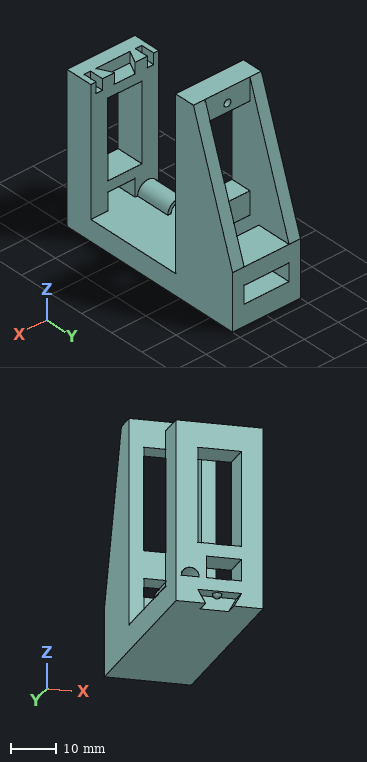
import cadquery as cq

width = 20.0
length = 55.0
height = 54.0

base_thickness = 6.0
front_post_depth = 8.0
front_post_height = 42.0
rear_plate_thickness = 6.0
rear_plate_front = 36.0
rear_plate_back = rear_plate_front + rear_plate_thickness
rear_edge_height = 15.95

servo_width = 13.2
servo_bottom = 23.6
servo_top = 47.6
screw_diameter = 2.0
screw_spacing = 28.9
screw_mid_height = (servo_bottom + servo_top) / 2
lower_opening_top = 17.1

tie_bar_depth = 10.0
tie_bar_top = rear_edge_height
tie_bar_bottom = 11.0

window_width = 10.0
window_bottom = 14.0
window_top = 36.1
duct_left = -3.0
duct_right = window_width / 2
duct_top = tie_bar_bottom

tunnel_x = -6.75
tunnel_outer_radius = 3.0
tunnel_inner_radius = 2.05
tunnel_end = 18.0

socket_width = 10.0
socket_depth = 3.1
top_socket_mouth = 6.0
top_socket_back = 4.0
groove_inner = servo_width / 2
groove_width = 1.85
bottom_socket_mouth = 6.5
bottom_socket_length = 4.0
detent_radius = 1.05


def block(x_range, y_range, z_range):
    """Axis-aligned box given by its limits along each axis."""
    x0, x1 = x_range
    y0, y1 = y_range
    z0, z1 = z_range
    return cq.Workplane("XY").box(x1 - x0, y1 - y0, z1 - z0, centered=False).translate((x0, y0, z0))


def centred_block(block_width, y_range, z_range):
    return block((-block_width / 2, block_width / 2), y_range, z_range)


def along_y(y_start):
    """Workplane whose local axes are X and Z and whose extrusions run toward +Y."""
    return cq.Workplane(cq.Plane(origin=(0, y_start, 0), xDir=(1, 0, 0), normal=(0, -1, 0)))


def make_frame():
    """U-shaped side profile with the sloped back, extruded across the width."""
    profile = [
        (0, 0),
        (length, 0),
        (length, rear_edge_height),
        (rear_plate_back, height),
        (rear_plate_front, height),
        (rear_plate_front, base_thickness),
        (front_post_depth, base_thickness),
        (front_post_depth, front_post_height),
        (0, front_post_height),
    ]
    return cq.Workplane("YZ").polyline(profile).close().extrude(width / 2, both=True)


def cut_rear_upright(body):
    """Hollow the space between the gussets, then open the plate for the servo and its screws."""
    body = body.cut(centred_block(servo_width, (rear_plate_back, length), (base_thickness, height)))
    for z_range in ((servo_bottom, servo_top), (base_thickness, lower_opening_top)):
        body = body.cut(centred_block(servo_width, (rear_plate_front, rear_plate_back), z_range))
    for side in (-1, 1):
        screw_height = screw_mid_height + side * screw_spacing / 2
        screw = along_y(rear_plate_front).center(0, screw_height).circle(screw_diameter / 2)
        body = body.cut(screw.extrude(-rear_plate_thickness))
    tie_bar = centred_block(servo_width, (length - tie_bar_depth, length), (tie_bar_bottom, tie_bar_top))
    return body.union(tie_bar)


def half_cylinder(radius, y_end):
    """Half-round bar resting on the base, from the front face to y_end."""
    bar = along_y(0).center(tunnel_x, base_thickness).circle(radius).extrude(-y_end)
    return bar.intersect(centred_block(width, (0, y_end), (base_thickness, height)))


def cut_front_post(body):
    """Window, duct and covered half-round tunnel."""
    post_range = (0, front_post_depth)
    body = body.cut(centred_block(window_width, post_range, (window_bottom, window_top)))
    body = body.cut(block((duct_left, duct_right), post_range, (base_thickness, duct_top)))
    body = body.union(half_cylinder(tunnel_outer_radius, tunnel_end))
    return body.cut(half_cylinder(tunnel_inner_radius, tunnel_end))


def dovetail(wide, narrow, wide_at, narrow_at):
    """Corner points of a symmetric trapezoid."""
    return [
        (-wide / 2, wide_at),
        (wide / 2, wide_at),
        (narrow / 2, narrow_at),
        (-narrow / 2, narrow_at),
    ]


def cut_top_socket(body):
    """Dovetail and two grooves let into the inner face of the front post, open at its top."""
    outline = dovetail(socket_width, top_socket_mouth, top_socket_back, front_post_depth)
    socket = cq.Workplane("XY").workplane(offset=front_post_height).polyline(outline).close()
    body = body.cut(socket.extrude(-socket_depth))
    groove = block(
        (groove_inner, groove_inner + groove_width),
        (top_socket_back, front_post_depth),
        (front_post_height - socket_depth, front_post_height),
    )
    return body.cut(groove).cut(groove.mirror("YZ"))


def cut_bottom_socket(body):
    """Dovetail under the front edge with a ball detent on its ceiling."""
    outline = dovetail(socket_width, bottom_socket_mouth, socket_depth, 0)
    body = body.cut(along_y(0).polyline(outline).close().extrude(-bottom_socket_length))
    detent = cq.Workplane("XY").sphere(detent_radius)
    return body.union(detent.translate((0, bottom_socket_length / 2, socket_depth)))


result = make_frame()
result = cut_rear_upright(result)
result = cut_front_post(result)
result = cut_top_socket(result)
result = cut_bottom_socket(result)